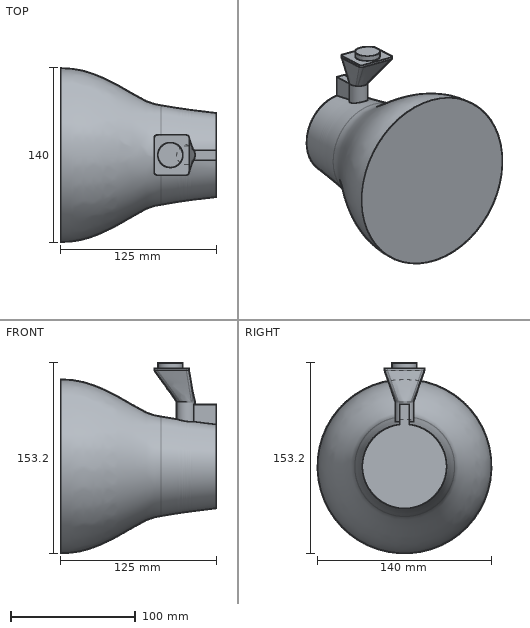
import cadquery as cq
import math

LENGTH = 125.0
WIDE_RADIUS = 70.0
NECK_X = 80.3
NECK_RADIUS = 40.1
END_RADIUS = 33.9
BELL_POINTS = [(25.5, 65.5), (41.4, 58.5), (51.0, 53.3), (70.2, 42.7)]
NECK_SLOPE = -0.18
END_SLOPE = -0.12

STEM_X = 100.5
STEM_DIAMETER = 15.0
STEM_TOP = 52.0
FIN_TOP = 49.8
FIN_THICKNESS = 8.0
ROOT_Z = 30.6

PLATE_X = 89.2
PLATE_LENGTH = 28.0
PLATE_WIDTH = 32.3
PLATE_CORNER = 2.5
PLATE_BOTTOM = 77.0
PLATE_TOP = 78.9
BUTTON_X = 88.1
BUTTON_DIAMETER = 20.0
TOP_Z = 153.2 - WIDE_RADIUS


def cylinder(x, diameter, bottom, top):
    """Upright cylinder on the Y = 0 plane."""
    return cq.Workplane("XY", origin=(x, 0, bottom)).circle(diameter / 2).extrude(top - bottom)


def make_body():
    return (
        cq.Workplane("XZ")
        .lineTo(0, WIDE_RADIUS)
        .spline(BELL_POINTS + [(NECK_X, NECK_RADIUS)], tangents=[(1, 0), (1, NECK_SLOPE)], includeCurrent=True)
        .spline([(LENGTH, END_RADIUS)], tangents=[(1, NECK_SLOPE), (1, END_SLOPE)], includeCurrent=True)
        .lineTo(LENGTH, 0)
        .close()
        .revolve(360, (0, 0, 0), (1, 0, 0))
    )


def make_fin():
    fin_length = LENGTH - STEM_X
    return (
        cq.Workplane("XY", origin=(STEM_X, 0, ROOT_Z))
        .rect(fin_length, FIN_THICKNESS, centered=(False, True))
        .extrude(FIN_TOP - ROOT_Z)
    )


def make_plate():
    return (
        cq.Workplane("XY", origin=(PLATE_X, 0, PLATE_BOTTOM))
        .rect(PLATE_LENGTH, PLATE_WIDTH)
        .extrude(PLATE_TOP - PLATE_BOTTOM)
        .edges("|Z")
        .fillet(PLATE_CORNER)
    )


def stem_outline():
    """Stem circle split into eight arcs, in proportion to the sides and corners of the plate."""
    long_side = PLATE_WIDTH - 2 * PLATE_CORNER
    short_side = PLATE_LENGTH - 2 * PLATE_CORNER
    corner = PLATE_CORNER * math.pi / 2
    spans = [long_side, corner, short_side, corner] * 2
    perimeter = sum(spans)
    radius = STEM_DIAMETER / 2

    def point(distance):
        angle = 2 * math.pi * distance / perimeter
        return cq.Vector(STEM_X + radius * math.cos(angle), radius * math.sin(angle), STEM_TOP)

    arcs = []
    start = -long_side / 2
    for span in spans:
        end = start + span
        arcs.append(cq.Edge.makeThreePointArc(point(start), point((start + end) / 2), point(end)))
        start = end
    return cq.Wire.assembleEdges(arcs)


def make_flare(plate):
    plate_outline = plate.faces("<Z").val().outerWire()
    return cq.Workplane(cq.Solid.makeLoft([stem_outline(), plate_outline], True))


plate = make_plate()
result = (
    make_body()
    .union(make_fin())
    .union(cylinder(STEM_X, STEM_DIAMETER, ROOT_Z, STEM_TOP))
    .union(make_flare(plate))
    .union(plate)
    .union(cylinder(BUTTON_X, BUTTON_DIAMETER, PLATE_TOP, TOP_Z))
)